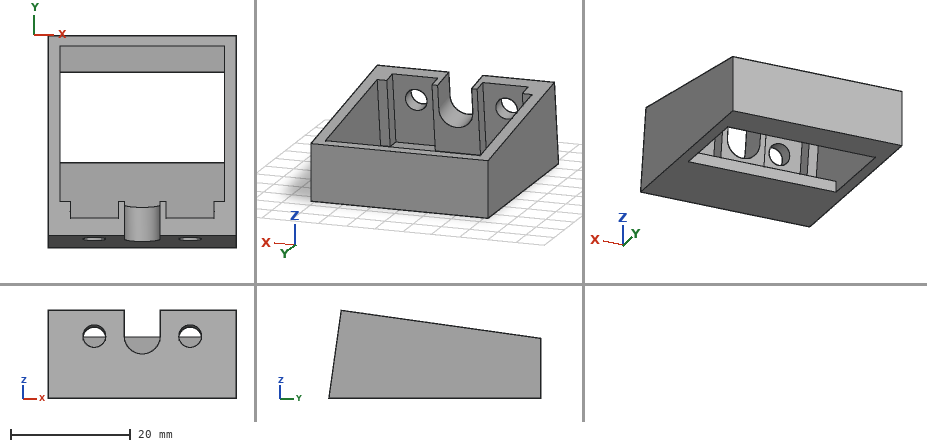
import cadquery as cq
import math

WIDTH = 31.4
DEPTH = 35.4
HEIGHT = 14.71
TILT = 8.0

SIDE_WALL = 2.0
BACK_WALL = 1.7
FLOOR = 2.0
FRONT_BLOCK = 5.75
FRONT_WALL = 2.9
RECESS_WIDTH = 24.0

WINDOW_BACK = 6.1
WINDOW_FRONT = 21.2

BORE_DROP = 4.37
SLOT_WIDTH = 6.0
RIB_THICKNESS = 1.0
HOLE_DIAMETER = 3.8
HOLE_SPACING = 16.0

CUT_MARGIN = 5.0

tilt = math.radians(TILT)
tilt_tangent = math.tan(tilt)
front_top_y = HEIGHT * tilt_tangent
back_height = HEIGHT - (DEPTH - front_top_y) * tilt_tangent
inner_width = WIDTH - 2 * SIDE_WALL
inner_back_y = DEPTH - BACK_WALL
slot_block_width = SLOT_WIDTH + 2 * RIB_THICKNESS


def side_profile(points, width):
    """Extrude a closed YZ outline symmetrically about X = 0."""
    return cq.Workplane("YZ").polyline(points).close().extrude(width / 2, both=True)


def front_plane():
    """Plane on the front face: origin at its top edge, local Y up the face, normal outward."""
    return cq.Plane(
        origin=(0, front_top_y, HEIGHT),
        xDir=(1, 0, 0),
        normal=(0, -math.cos(tilt), math.sin(tilt)),
    )


def body():
    outline = [(0, 0), (DEPTH, 0), (DEPTH, back_height), (front_top_y, HEIGHT)]
    return side_profile(outline, WIDTH)


def pocket(width, front_thickness):
    """Space above the floor, from a face parallel to the front to the vertical back wall."""
    offset = front_thickness / math.cos(tilt)
    top = HEIGHT + CUT_MARGIN
    outline = [
        (offset + FLOOR * tilt_tangent, FLOOR),
        (inner_back_y, FLOOR),
        (inner_back_y, top),
        (offset + top * tilt_tangent, top),
    ]
    return side_profile(outline, width)


def slot_block():
    """Full-thickness block that holds the slot and separates the two recesses."""
    return (
        cq.Workplane(front_plane())
        .rect(slot_block_width, 2 * (HEIGHT + CUT_MARGIN))
        .extrude(-FRONT_BLOCK)
    )


def window():
    length = WINDOW_FRONT - WINDOW_BACK
    centre_y = DEPTH - (WINDOW_FRONT + WINDOW_BACK) / 2
    return cq.Workplane("XY").center(0, centre_y).rect(inner_width, length).extrude(FLOOR)


def slot():
    """Round-bottomed slot, open at the top."""
    radius = SLOT_WIDTH / 2
    return (
        cq.Workplane(front_plane())
        .moveTo(-radius, CUT_MARGIN)
        .lineTo(-radius, -BORE_DROP)
        .threePointArc((0, -BORE_DROP - radius), (radius, -BORE_DROP))
        .lineTo(radius, CUT_MARGIN)
        .close()
        .extrude(FRONT_BLOCK + CUT_MARGIN, both=True)
    )


def screw_holes():
    half_spacing = HOLE_SPACING / 2
    return (
        cq.Workplane(front_plane())
        .pushPoints([(-half_spacing, -BORE_DROP), (half_spacing, -BORE_DROP)])
        .circle(HOLE_DIAMETER / 2)
        .extrude(-FRONT_BLOCK)
    )


recesses = pocket(RECESS_WIDTH, FRONT_WALL).cut(slot_block())
result = (
    body()
    .cut(pocket(inner_width, FRONT_BLOCK))
    .cut(recesses)
    .cut(window())
    .cut(slot())
    .cut(screw_holes())
)